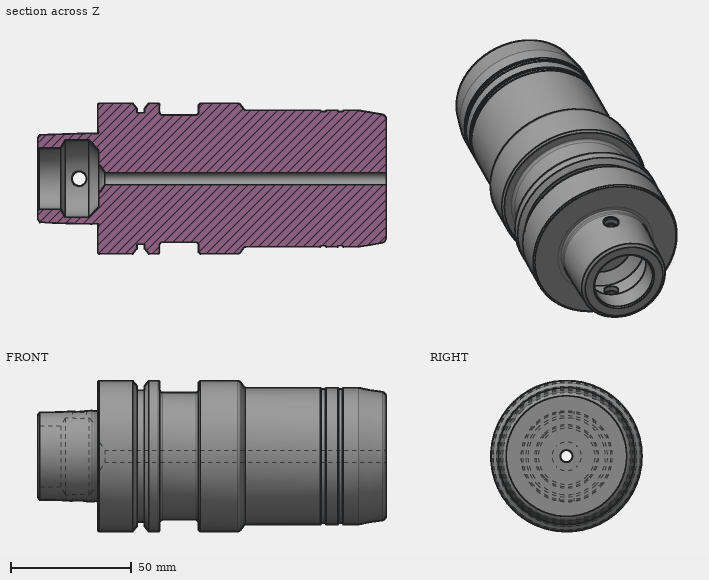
import cadquery as cq
import math

overall_length = 145.0
flange_start = 25.0
taper_end = 22.5
neck_start = 23.8
v_groove_start = 41.3
v_groove_end = 44.4
flange_end = 50.8
collar_start = 66.8
body_start = 86.4
ring_groove_starts = (117.6, 124.7)
nose_start = 133.4
nose_cone_end = 143.3

shank_radius = 18.3
taper_end_radius = 19.0
neck_radius = 37.7 / 2
flange_radius = 63.0 / 2
v_groove_radius = 55.0 / 2
waist_radius = 53.0 / 2
body_radius = 57.0 / 2
ring_groove_radius = 56.0 / 2
nose_cone_radius = 26.8
end_face_radius = 25.1

shank_chamfer_length = 0.9
shank_chamfer_depth = 1.3
flange_chamfer = 0.6
flange_rear_round = 0.9
collar_chamfer = 0.9
arc_inset = 1 - math.sqrt(0.5)
v_chamfer_length = 1.9
v_chamfer_depth = 2.3
waist_fillet = 1.2
collar_shoulder_start = 83.1
shoulder_arc_mid = (84.0, 31.2)
shoulder_arc_end = (84.5, 30.6)
shoulder_foot_x = 85.5
shoulder_foot_radius = 29.1
foot_arc_mid = (86.0, 28.7)
ring_groove_width = 2.5
ring_groove_slope = 0.5
nose_arc_mid = (144.4, 26.1)
relief_outer_radius = 20.9
neck_fillet = 0.6
relief_depth = 0.3

bore_radius = 25.4 / 2
bore_mouth_radius = 26.5 / 2
bore_mouth_chamfer = 0.6
clamp_start = 9.5
clamp_slope_length = 1.9
clamp_radius = 32.0 / 2
floor_cone_length = 4.0
floor_radius = 23.5 / 2
floor_depth = 25.4
socket_radius = 12.0 / 2
socket_rim_radius = 5.1
socket_rim_chamfer = 0.9
socket_cone_length = 1.7
coolant_radius = 5.0 / 2
cross_hole_x = 17.3
cross_hole_diameter = 6.0
cross_hole_rim_diameter = 7.0
cross_hole_rim_depth = 0.6


def outer_body():
    """Revolve the shank, flange, waist, collar and nose around X."""
    v_shoulder = flange_radius - v_chamfer_depth
    relief_floor = flange_start + relief_depth
    neck_arc = neck_fillet * arc_inset
    waist_arc = waist_fillet * arc_inset
    rear_arc = flange_rear_round * arc_inset
    profile = (
        cq.Workplane("XY")
        .moveTo(0, 0)
        .lineTo(0, shank_radius - shank_chamfer_depth)
        .lineTo(shank_chamfer_length, shank_radius)
        .lineTo(taper_end, taper_end_radius)
        .lineTo(neck_start, neck_radius)
        .lineTo(relief_floor - neck_fillet, neck_radius)
        .threePointArc(
            (relief_floor - neck_arc, neck_radius + neck_arc),
            (relief_floor, neck_radius + neck_fillet),
        )
        .lineTo(flange_start, relief_outer_radius)
        .lineTo(flange_start, flange_radius - flange_chamfer)
        .lineTo(flange_start + flange_chamfer, flange_radius)
        .lineTo(v_groove_start - v_chamfer_length, flange_radius)
        .lineTo(v_groove_start, v_shoulder)
        .lineTo(v_groove_start, v_groove_radius)
        .lineTo(v_groove_end, v_groove_radius)
        .lineTo(v_groove_end, v_shoulder)
        .lineTo(v_groove_end + v_chamfer_length, flange_radius)
        .lineTo(flange_end - flange_rear_round, flange_radius)
        .threePointArc(
            (flange_end - rear_arc, flange_radius - rear_arc),
            (flange_end, flange_radius - flange_rear_round),
        )
        .lineTo(flange_end, waist_radius + waist_fillet)
        .threePointArc(
            (flange_end + waist_arc, waist_radius + waist_arc),
            (flange_end + waist_fillet, waist_radius),
        )
        .lineTo(collar_start - waist_fillet, waist_radius)
        .threePointArc(
            (collar_start - waist_arc, waist_radius + waist_arc),
            (collar_start, waist_radius + waist_fillet),
        )
        .lineTo(collar_start, flange_radius - collar_chamfer)
        .lineTo(collar_start + collar_chamfer, flange_radius)
        .lineTo(collar_shoulder_start, flange_radius)
        .threePointArc(shoulder_arc_mid, shoulder_arc_end)
        .lineTo(shoulder_foot_x, shoulder_foot_radius)
        .threePointArc(foot_arc_mid, (body_start, body_radius))
    )
    for start in ring_groove_starts:
        end = start + ring_groove_width
        profile = (
            profile.lineTo(start, body_radius)
            .lineTo(start + ring_groove_slope, ring_groove_radius)
            .lineTo(end - ring_groove_slope, ring_groove_radius)
            .lineTo(end, body_radius)
        )
    profile = (
        profile.lineTo(nose_start, body_radius)
        .lineTo(nose_cone_end, nose_cone_radius)
        .threePointArc(nose_arc_mid, (overall_length, end_face_radius))
        .lineTo(overall_length, 0)
        .close()
    )
    return profile.revolve(360, (0, 0, 0), (1, 0, 0))


def bore():
    """Stepped shank bore with a clamping recess, a socket and a through hole."""
    cone_start = floor_depth - floor_cone_length
    socket_rim_end = floor_depth + socket_rim_chamfer
    points = [
        (0, 0),
        (0, bore_mouth_radius),
        (bore_mouth_chamfer, bore_radius),
        (clamp_start, bore_radius),
        (clamp_start + clamp_slope_length, clamp_radius),
        (cone_start, clamp_radius),
        (floor_depth, floor_radius),
        (floor_depth, socket_radius),
        (socket_rim_end, socket_rim_radius),
        (socket_rim_end + socket_cone_length, coolant_radius),
        (overall_length, coolant_radius),
        (overall_length, 0),
    ]
    return cq.Workplane("XY").polyline(points).close().revolve(360, (0, 0, 0), (1, 0, 0))


def cross_hole():
    """Hole along Z through both shank walls, countersunk on the outside."""
    surface = shank_radius + (taper_end_radius - shank_radius) * cross_hole_x / taper_end
    radius = cross_hole_diameter / 2
    rim = cross_hole_rim_diameter / 2
    points = [
        (0, 0),
        (radius, 0),
        (radius, surface - cross_hole_rim_depth),
        (rim, surface),
        (rim, flange_radius),
        (0, flange_radius),
    ]
    half = cq.Workplane("XZ").polyline(points).close().revolve(360, (0, 0, 0), (0, 1, 0))
    return half.union(half.mirror("XY")).translate((cross_hole_x, 0, 0))


result = outer_body().cut(bore()).cut(cross_hole())